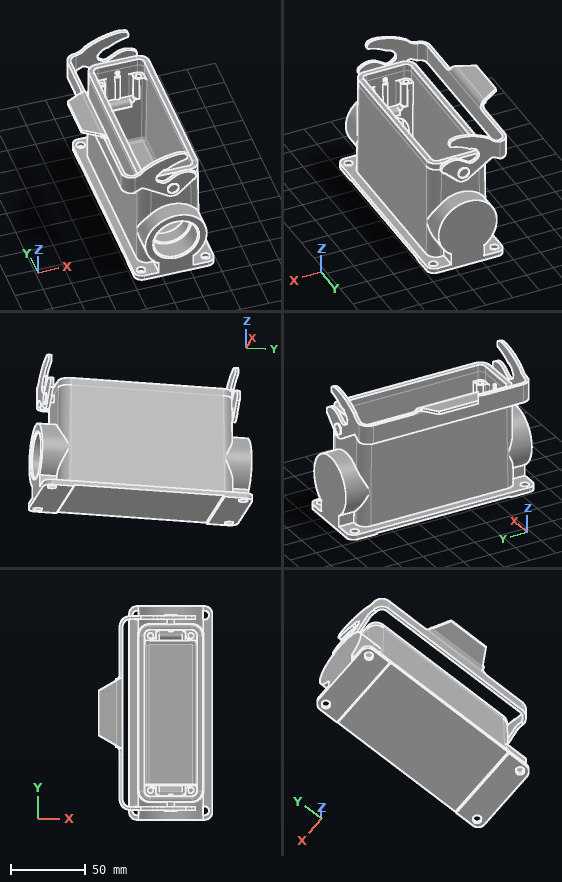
import cadquery as cq
import math


BASE_WIDTH = 56.2
LENGTH = 144.0
BASE_THICKNESS = 3.7
BASE_CORNER_RADIUS = 5.5
MOUNT_HOLE_DIAMETER = 5.8
MOUNT_HOLE_X = 22.8
MOUNT_HOLE_Y = 65.8
RELIEF_DEPTH = 0.8
RELIEF_HALF_LENGTH = 51.9

WALL = 3.65
RIM_HALF_WIDTH = 21.4
RIM_HALF_LENGTH = 59.7
DRAFT_OFFSET = 0.72
SHELL_CORNER_RADIUS = 7.4
DRAFT_TOP_Z = 74.6
RIM_TOP_Z = 80.0
RIM_CROWN = 0.5
RIM_EDGE_Z = RIM_TOP_Z - RIM_CROWN

MOUTH_HALF_WIDTH = RIM_HALF_WIDTH - WALL
MOUTH_HALF_LENGTH = RIM_HALF_LENGTH - WALL
MOUTH_CORNER_RADIUS = SHELL_CORNER_RADIUS - WALL
CAVITY_DRAFT = 1.1
DRAFT_SLOPE = math.tan(math.radians(CAVITY_DRAFT))
FLOOR_Z = 14.0
POST_TOP_Z = 68.0
POST_FACE_Y = 49.1
POST_INNER_X = 10.0
POST_CORNER_RADIUS = 3.3
POST_HOLE_DIAMETER = 3.8
POST_HOLE_X = 13.6
POST_HOLE_Y = 52.0
POST_HOLE_DEPTH = 12.0
INNER_FILLET = 2.0
CHAMBER_CORNER_RADIUS = 2.4
MOUTH_DRAFT_OFFSET = (DRAFT_TOP_Z - POST_TOP_Z) * DRAFT_SLOPE
FLOOR_HALF_LENGTH = POST_FACE_Y - (POST_TOP_Z - FLOOR_Z) * DRAFT_SLOPE
LEDGE_Z = 48.2
LEDGE_ROUND = 3.6
RIB_RADIUS = 1.9
RIB_AXIS_Y = MOUTH_HALF_LENGTH + 0.4

BOSS_RADIUS = 21.75
BOSS_Z = 30.0
BOSS_WEB_WIDTH = 24.4
ENTRY_RADIUS = 15.5
ENTRY_CHAMFER = 0.9
ENTRY_SHOULDER_Y = 57.6
PASSAGE_RADIUS = 14.15

SHEET = 2.2
ARM_OUTER_Y = 65.3
ARM_INNER_Y = ARM_OUTER_Y - SHEET
BAR_OUTER_X = -34.5
BAR_INNER_X = BAR_OUTER_X + SHEET
BAR_BOTTOM_Z = 74.2
BAR_TOP_Z = 88.2
BAR_BEND_RADIUS = 7.3
ARM_START_X = BAR_OUTER_X + BAR_BEND_RADIUS
PIVOT_Z = 71.2
PIN_DIAMETER = 4.8
PIN_HEAD_DIAMETER = 7.8
PIN_HEAD_THICKNESS = 0.8
PIN_TIP_DIAMETER = 3.0
PIN_TIP_END_DIAMETER = 2.2
PIN_TIP_LENGTH = 1.0
RIB_TOP_Z = PIVOT_Z - PIN_TIP_DIAMETER

TAB_TIP_X = -48.58
TAB_TILT = math.radians(5.5)
TAB_BEND_INNER_RADIUS = 2.5
TAB_TIP_HALF_WIDTH = 15.05
TAB_ROOT_HALF_WIDTH = 24.4
FLARE_HALF_WIDTH = 27.9
FLARE_HEIGHT = 3.6

ENDS = (-1, 1)
SIDES = (-1, 1)


def rounded_rect(half_x, half_y, radius, z):
    """Workplane at height z holding a rounded rectangle."""
    sketch = cq.Sketch().rect(2 * half_x, 2 * half_y).vertices().fillet(radius)
    return cq.Workplane("XY").workplane(offset=z).placeSketch(sketch)


def box_between(x0, x1, y0, y1, z0, z1):
    """Axis-aligned box between opposite corner coordinates."""
    return cq.Workplane("XY").box(x1 - x0, y1 - y0, z1 - z0, centered=False).translate((x0, y0, z0))


def cylinder_y(radius, y_from, y_to, z):
    """Cylinder along Y on the mid-plane x = 0."""
    solid = cq.Solid.makeCylinder(
        radius, abs(y_to - y_from), cq.Vector(0, y_from, z), cq.Vector(0, math.copysign(1, y_to - y_from), 0)
    )
    return cq.Workplane(solid)


def base_plate():
    plate = rounded_rect(BASE_WIDTH / 2, LENGTH / 2, BASE_CORNER_RADIUS, 0).extrude(BASE_THICKNESS)
    relief = (
        cq.Workplane("YZ")
        .polyline([
            (-RELIEF_HALF_LENGTH, 0),
            (RELIEF_HALF_LENGTH, 0),
            (RELIEF_HALF_LENGTH - RELIEF_DEPTH, RELIEF_DEPTH),
            (-RELIEF_HALF_LENGTH + RELIEF_DEPTH, RELIEF_DEPTH),
        ])
        .close()
        .extrude(BASE_WIDTH, both=True)
    )
    holes = (
        cq.Workplane("XY")
        .rect(2 * MOUNT_HOLE_X, 2 * MOUNT_HOLE_Y, forConstruction=True)
        .vertices()
        .circle(MOUNT_HOLE_DIAMETER / 2)
        .extrude(BASE_THICKNESS)
    )
    return plate.cut(relief).cut(holes)


def rim_crown():
    """Rounded top of the rim, swept around the mouth."""
    rim_block = rounded_rect(
        RIM_HALF_WIDTH - WALL / 2, RIM_HALF_LENGTH - WALL / 2, SHELL_CORNER_RADIUS - WALL / 2, RIM_EDGE_Z
    ).extrude(WALL)
    path = rim_block.faces("<Z").wires()
    profile = (
        cq.Workplane("XZ")
        .moveTo(MOUTH_HALF_WIDTH, RIM_EDGE_Z)
        .threePointArc((RIM_HALF_WIDTH - WALL / 2, RIM_TOP_Z), (RIM_HALF_WIDTH, RIM_EDGE_Z))
        .close()
    )
    return profile.sweep(path, transition="right")


def shell():
    rim_size = (RIM_HALF_WIDTH, RIM_HALF_LENGTH)
    height = DRAFT_TOP_Z - RELIEF_DEPTH
    draft = math.degrees(math.atan(DRAFT_OFFSET / height))
    body = (
        cq.Workplane("XY")
        .workplane(offset=RELIEF_DEPTH)
        .rect(2 * (RIM_HALF_WIDTH + DRAFT_OFFSET), 2 * (RIM_HALF_LENGTH + DRAFT_OFFSET))
        .extrude(height, taper=draft)
        .edges("not(<Z or >Z)")
        .fillet(SHELL_CORNER_RADIUS)
    )
    band = rounded_rect(*rim_size, SHELL_CORNER_RADIUS, DRAFT_TOP_Z).extrude(RIM_EDGE_Z - DRAFT_TOP_Z)
    return body.union(band)


def entry_bosses():
    bosses = cylinder_y(BOSS_RADIUS, -LENGTH / 2, LENGTH / 2, BOSS_Z)
    half_web = BOSS_WEB_WIDTH / 2
    web = box_between(-half_web, half_web, -LENGTH / 2, LENGTH / 2, RELIEF_DEPTH, BOSS_Z)
    return bosses.union(web)


def cavity():
    """Interior: chamber, mouth, and a stepped bay between the two posts at each end."""
    void = chamber().union(mouth())
    for end in ENDS:
        void = void.union(post_bay(end))
    return void


def chamber():
    """Drafted main space; its floor edges are rounded except at the cable entry end."""
    half_width = MOUTH_HALF_WIDTH - MOUTH_DRAFT_OFFSET
    half_length = POST_FACE_Y + CHAMBER_CORNER_RADIUS
    space = (
        cq.Workplane("XY")
        .workplane(offset=POST_TOP_Z)
        .center(0, -CHAMBER_CORNER_RADIUS)
        .rect(2 * half_width, 2 * half_length)
        .extrude(FLOOR_Z - POST_TOP_Z, taper=CAVITY_DRAFT)
        .edges("not(<Z or >Z)")
        .fillet(CHAMBER_CORNER_RADIUS)
        .edges("<Z")
        .fillet(INNER_FILLET)
    )
    entry_end_limit = (
        cq.Workplane("YZ")
        .polyline([
            (-FLOOR_HALF_LENGTH, FLOOR_Z),
            (-POST_FACE_Y, POST_TOP_Z),
            (LENGTH / 2, POST_TOP_Z),
            (LENGTH / 2, FLOOR_Z),
        ])
        .close()
        .extrude(BASE_WIDTH / 2, both=True)
    )
    return space.intersect(entry_end_limit)


def mouth():
    """Opening above the posts: drafted up to the rim band, then straight."""
    size = (MOUTH_HALF_WIDTH, MOUTH_HALF_LENGTH, MOUTH_CORNER_RADIUS, DRAFT_TOP_Z)
    straight = rounded_rect(*size).extrude(RIM_TOP_Z - DRAFT_TOP_Z)
    drafted = rounded_rect(*size).extrude(POST_TOP_Z - DRAFT_TOP_Z, taper=CAVITY_DRAFT)
    return straight.union(drafted)


def post_bay(end):
    """Space between the two posts of one end, above a ledge with a rounded front edge."""
    depth = POST_TOP_Z - LEDGE_Z
    back_y = MOUTH_HALF_LENGTH - MOUTH_DRAFT_OFFSET
    front_y = POST_FACE_Y - 2 * POST_CORNER_RADIUS
    bay = (
        cq.Workplane("XY")
        .workplane(offset=POST_TOP_Z)
        .center(0, (front_y + back_y) / 2)
        .rect(2 * POST_INNER_X, back_y - front_y)
        .extrude(-depth, taper=CAVITY_DRAFT)
    )
    side_edges = bay.edges("<Z").edges("|Y")
    back_corners = bay.edges("not(<Z or >Z)").edges(">Y")
    bay = bay.newObject(side_edges.vals() + back_corners.vals()).fillet(INNER_FILLET)
    flat_half = POST_INNER_X - depth * DRAFT_SLOPE - INNER_FILLET
    edge_round = (
        cq.Workplane("YZ")
        .moveTo(front_y, LEDGE_Z)
        .lineTo(POST_FACE_Y + LEDGE_ROUND, LEDGE_Z)
        .radiusArc((POST_FACE_Y, LEDGE_Z - LEDGE_ROUND), -LEDGE_ROUND)
        .lineTo(front_y, LEDGE_Z - LEDGE_ROUND)
        .close()
        .extrude(flat_half, both=True)
    )
    bay = bay.union(edge_round)
    for side in SIDES:
        bay = bay.union(post_corner_round(side))
    if end < 0:
        bay = bay.mirror("XZ")
    return bay


def post_corner_round(side):
    """Space freed by rounding the inner corner of a post."""
    r = POST_CORNER_RADIUS
    mid = r * (1 - math.sqrt(0.5))
    return (
        cq.Workplane("XY")
        .workplane(offset=LEDGE_Z + INNER_FILLET)
        .moveTo(0, POST_FACE_Y - r)
        .lineTo(side * (POST_INNER_X + r), POST_FACE_Y - r)
        .lineTo(side * (POST_INNER_X + r), POST_FACE_Y)
        .threePointArc(
            (side * (POST_INNER_X + mid), POST_FACE_Y + mid),
            (side * POST_INNER_X, POST_FACE_Y + r),
        )
        .lineTo(0, POST_FACE_Y + r)
        .close()
        .extrude(POST_TOP_Z - LEDGE_Z - INNER_FILLET)
    )


def post_holes():
    return (
        cq.Workplane("XY")
        .workplane(offset=POST_TOP_Z - POST_HOLE_DEPTH)
        .rect(2 * POST_HOLE_X, 2 * POST_HOLE_Y, forConstruction=True)
        .vertices()
        .circle(POST_HOLE_DIAMETER / 2)
        .extrude(POST_HOLE_DEPTH)
    )


def end_ribs():
    """Round rib below each pivot on the inside of the end walls."""
    return (
        cq.Workplane("XY")
        .workplane(offset=LEDGE_Z - LEDGE_ROUND)
        .pushPoints([(0, end * RIB_AXIS_Y) for end in ENDS])
        .circle(RIB_RADIUS)
        .extrude(RIB_TOP_Z - LEDGE_Z + LEDGE_ROUND)
    )


def cable_entry():
    """Stepped bore through the boss on the -Y end only."""
    mouth_y = -LENGTH / 2
    bore = cylinder_y(ENTRY_RADIUS, mouth_y, -ENTRY_SHOULDER_Y, BOSS_Z)
    passage = cylinder_y(PASSAGE_RADIUS, mouth_y, -FLOOR_HALF_LENGTH + INNER_FILLET, BOSS_Z)
    chamfer = cq.Workplane(
        cq.Solid.makeCone(
            ENTRY_RADIUS + ENTRY_CHAMFER,
            ENTRY_RADIUS,
            ENTRY_CHAMFER,
            cq.Vector(0, mouth_y, BOSS_Z),
            cq.Vector(0, 1, 0),
        )
    )
    return bore.union(passage).union(chamfer)


def pivot(end):
    """Headed pin through one lever arm and the end wall, with a tapered inner tip."""
    tip_y = MOUTH_HALF_LENGTH
    head_y = ARM_OUTER_Y + PIN_HEAD_THICKNESS
    pin = cylinder_y(PIN_DIAMETER / 2, end * (tip_y + WALL / 2), end * ARM_OUTER_Y, PIVOT_Z)
    head = cylinder_y(PIN_HEAD_DIAMETER / 2, end * ARM_INNER_Y, end * head_y, PIVOT_Z)
    tip = cq.Workplane(
        cq.Solid.makeCone(
            PIN_TIP_DIAMETER / 2,
            PIN_TIP_END_DIAMETER / 2,
            PIN_TIP_LENGTH,
            cq.Vector(0, end * tip_y, PIVOT_Z),
            cq.Vector(0, -end, 0),
        )
    )
    return pin.union(head).union(tip)


def lever_arm(end):
    """Hooked side plate of the lever."""
    profile = (
        cq.Workplane("XZ", origin=(0, end * (ARM_INNER_Y + ARM_OUTER_Y) / 2, 0))
        .moveTo(ARM_START_X, BAR_BOTTOM_Z)
        .lineTo(ARM_START_X, BAR_TOP_Z)
        .threePointArc((-23.2, 89.8), (-20.1, 92.7))
        .threePointArc((-9.8, 97.8), (1.4, 100.5))
        .threePointArc((3.7, 100.63), (6.0, 100.4))
        .lineTo(8.0, 99.9)
        .threePointArc((9.8, 98.4), (10.1, 95.9))
        .threePointArc((9.8, 95.2), (9.0, 94.7))
        .threePointArc((2.0, 92.6), (-4.6, 89.1))
        .lineTo(-6.5, 88.9)
        .threePointArc((-9.8, 86.5), (-11.8, 83.2))
        .threePointArc((-11.5, 81.0), (-9.0, 78.7))
        .threePointArc((-6.1, 77.4), (-3.0, 78.5))
        .lineTo(0.8, 80.9)
        .threePointArc((7.8, 83.2), (14.3, 81.1))
        .threePointArc((16.3, 78.4), (14.0, 74.6))
        .lineTo(5.2, 66.4)
        .threePointArc((0, 64.1), (-4.6, 65.9))
        .lineTo(-20.4, 76.4)
        .threePointArc((-21.6, 76.9), (-23.2, 76.6))
        .lineTo(-26.4, 74.9)
        .close()
    )
    return profile.extrude(SHEET / 2, both=True)


def lever_bar():
    """Bar joining the two arms, bent through a right angle at both ends."""
    reach = 2 * BAR_BEND_RADIUS

    def bent_block(x_face, half_y, radius):
        block = box_between(x_face, x_face + reach, -half_y, half_y, BAR_BOTTOM_Z, BAR_TOP_Z)
        return block.edges("|Z and <X").fillet(radius)

    outer = bent_block(BAR_OUTER_X, ARM_OUTER_Y, BAR_BEND_RADIUS)
    inner = bent_block(BAR_INNER_X, ARM_INNER_Y, BAR_BEND_RADIUS - SHEET)
    limit = box_between(BAR_OUTER_X, ARM_START_X, -ARM_OUTER_Y, ARM_OUTER_Y, BAR_BOTTOM_Z, BAR_TOP_Z)
    return outer.cut(inner).intersect(limit)


def thumb_tab():
    """Tab bent outward from the top of the bar, narrowing towards its tip."""
    r_in = TAB_BEND_INNER_RADIUS
    r_out = r_in + SHEET
    bend_x = BAR_OUTER_X - r_in
    turn = math.pi / 2 - TAB_TILT

    def on_bend(radius, angle):
        return (bend_x + radius * math.cos(angle), BAR_TOP_Z + radius * math.sin(angle))

    lower_end = on_bend(r_in, turn)
    upper_end = on_bend(r_out, turn)
    along = (lower_end[0] - TAB_TIP_X) / math.cos(TAB_TILT)
    step = (-along * math.cos(TAB_TILT), along * math.sin(TAB_TILT))
    sheet = (
        cq.Workplane("XZ")
        .moveTo(BAR_OUTER_X, BAR_TOP_Z)
        .threePointArc(on_bend(r_in, turn / 2), lower_end)
        .lineTo(lower_end[0] + step[0], lower_end[1] + step[1])
        .lineTo(upper_end[0] + step[0], upper_end[1] + step[1])
        .lineTo(*upper_end)
        .threePointArc(on_bend(r_out, turn / 2), (BAR_INNER_X, BAR_TOP_Z))
        .close()
        .extrude(FLARE_HALF_WIDTH, both=True)
    )
    plan = (
        cq.Workplane("XY")
        .workplane(offset=BAR_TOP_Z)
        .polyline([
            (TAB_TIP_X, -TAB_TIP_HALF_WIDTH),
            (BAR_INNER_X, -TAB_ROOT_HALF_WIDTH),
            (BAR_INNER_X, TAB_ROOT_HALF_WIDTH),
            (TAB_TIP_X, TAB_TIP_HALF_WIDTH),
        ])
        .close()
        .extrude(2 * r_out)
    )
    flare_top = FLARE_HALF_WIDTH - FLARE_HEIGHT - SHEET
    flare = (
        cq.Workplane("YZ")
        .moveTo(-FLARE_HALF_WIDTH, BAR_TOP_Z)
        .radiusArc((-flare_top, BAR_TOP_Z + FLARE_HEIGHT), -2 * FLARE_HEIGHT)
        .lineTo(flare_top, BAR_TOP_Z + FLARE_HEIGHT)
        .radiusArc((FLARE_HALF_WIDTH, BAR_TOP_Z), -2 * FLARE_HEIGHT)
        .close()
        .extrude(r_out)
        .translate((BAR_INNER_X - r_out, 0, 0))
    )
    return sheet.intersect(plan.union(flare))


def lever():
    part = lever_bar().union(thumb_tab())
    for end in ENDS:
        part = part.union(lever_arm(end))
    return part


housing = base_plate().union(shell()).union(entry_bosses())
housing = housing.cut(cavity()).cut(post_holes()).cut(cable_entry())
housing = housing.union(rim_crown()).union(end_ribs())

result = housing.union(lever())
for end_sign in ENDS:
    result = result.union(pivot(end_sign))